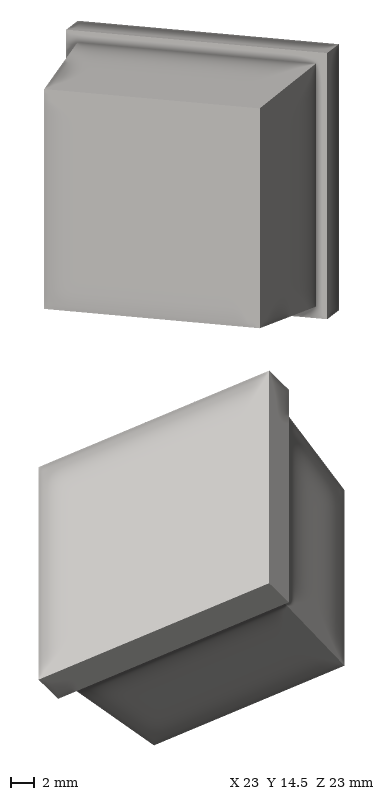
import cadquery as cq

flange_side = 23.0
flange_thickness = 3.0

total_depth = 14.5
plug_root_side = 21.0
plug_tip_side = 19.0
plug_length = total_depth - flange_thickness


def make_flange():
    return cq.Workplane("XZ").rect(flange_side, flange_side).extrude(-flange_thickness)


def make_plug():
    return (
        cq.Workplane("XZ")
        .rect(plug_root_side, plug_root_side)
        .workplane(offset=plug_length)
        .rect(plug_tip_side, plug_tip_side)
        .loft(ruled=True)
    )


result = make_flange().union(make_plug())